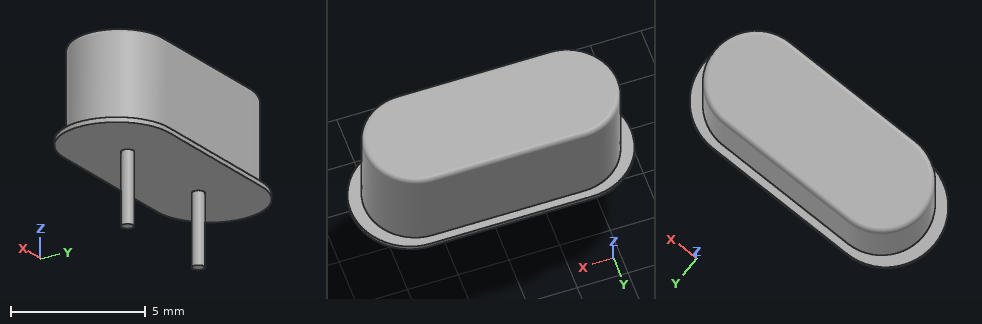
import cadquery as cq

flange_length = 11.05
flange_width = 4.65
flange_thickness = 0.2

can_length = 10.0
can_width = 4.0
can_top = 4.0
can_edge_radius = 0.2

pin_diameter = 0.5
pin_length = 3.0
pin_spacing = 4.88


def make_flange():
    return cq.Workplane("XY").slot2D(flange_length, flange_width).extrude(flange_thickness)


def make_can():
    can = (
        cq.Workplane("XY")
        .workplane(offset=flange_thickness)
        .slot2D(can_length, can_width)
        .extrude(can_top - flange_thickness)
    )
    return can.faces(">Z").edges().fillet(can_edge_radius)


def make_pins():
    pin_centers = [(-pin_spacing / 2, 0), (pin_spacing / 2, 0)]
    return (
        cq.Workplane("XY")
        .pushPoints(pin_centers)
        .circle(pin_diameter / 2)
        .extrude(-pin_length)
    )


result = make_flange().union(make_can()).union(make_pins())